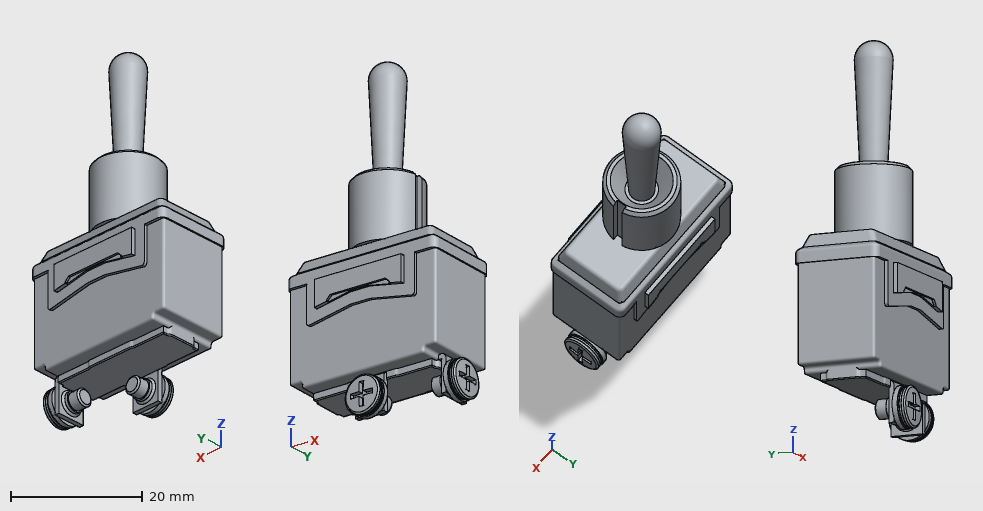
import cadquery as cq
import math


overall_height = 60.7

body_half_x = 13.85
body_half_y = 6.5
body_end_z = -20.5
body_bottom_z = -21.55
base_half_x = 11.55
base_half_y = 4.0
base_bottom_z = -22.8
body_edge_radius = 0.4
step_radius = 0.4
base_chamfer = 0.2
end_pad_half_width = 2.7
end_pad_height = 0.35
side_pad_half_length = 4.55
side_pad_height = 0.2
pad_blend = 0.35

cover_top_half_x = 12.2
cover_top_half_y = 5.45
cover_shoulder_z = -2.1
cover_slope_offset = 0.85
cover_top_radius = 0.65
cover_corner_radius = 1.0
flange_half_x = 14.1
flange_half_y = 7.05
flange_bottom_z = -4.75
flange_corner_radius = 1.15
flange_bevel_drop = 0.65
flange_bevel_inset = 1.05
flange_top_radius = 0.6

strap_half_x = 10.2
strap_end_z = -11.85
strap_corner_radius = 0.5
crest_half_x = 1.8
crest_rise = 1.6
crest_slope = crest_rise / (strap_half_x - crest_half_x)
lug_half_x = 8.2
lug_half_y = 15.5 / 2
lug_end_z = -9.4
lug_step = 0.3
notch_half_top = 5.15
notch_half_bottom = 5.9
notch_top_z = -8.0
notch_bottom_z = -8.75

bushing_radius = 5.95
bushing_height = 12.1
bushing_chamfer = 0.55
cup_top_radius = 4.8
cup_bottom_radius = 2.55
cup_depth = 3.05
keyway_width = 1.7
keyway_floor = 4.9

lever_top_z = 31.8
ball_radius = 3.0
lever_foot_radius = 2.0

tab_half_width = 2.7
tab_thickness = 0.85
tab_rise = 3.9
tab_drop = 2.75
leg_length = 3.05
bend_radius = 0.85
x_terminal_reach = 12.9
x_terminal_z = -24.45
y_terminal_reach = 4.6

washer_radius = 6.75 / 2
washer_thickness = 0.85
neck_radius = 3.15
neck_length = 0.25
lock_washer_radius = 3.2
lock_washer_thickness = 0.35
head_radius = 6.55 / 2
head_rim_height = 0.4
dome_edge_radius = 3.0
dome_rise = 0.15
screw_height = 2.25
collar_radius = 3.6 / 2
collar_length = 1.75
collar_flare = 0.35
shank_radius = 3.1 / 2
shank_length = 3.8
shank_tip_radius = 1.2
shank_tip_length = 0.25
cross_half_length = 2.05
cross_width = 0.8
cross_depth = 0.9


def block(half_x, half_y, bottom_z, top_z):
    """Box centred on the Z axis between two heights."""
    height = top_z - bottom_z
    return cq.Workplane("XY").workplane(offset=bottom_z).rect(2 * half_x, 2 * half_y).extrude(height)


def make_pad(half_x, half_width, height):
    """Pad along the +X and -X ends of the base; its sides blend in with S-curves."""
    curve_radius = (pad_blend ** 2 + (height / 2) ** 2) / height
    low_x = half_x - height
    mid_x = half_x - height / 2
    pad = (
        cq.Workplane("XY")
        .workplane(offset=base_bottom_z)
        .moveTo(0, -half_width - pad_blend)
        .lineTo(low_x, -half_width - pad_blend)
        .radiusArc((mid_x, -half_width), curve_radius)
        .radiusArc((half_x, -half_width + pad_blend), -curve_radius)
        .lineTo(half_x, half_width - pad_blend)
        .radiusArc((mid_x, half_width), -curve_radius)
        .radiusArc((low_x, half_width + pad_blend), curve_radius)
        .lineTo(0, half_width + pad_blend)
        .close()
        .extrude(body_end_z - base_bottom_z)
    )
    return pad.union(pad.mirror("YZ"))


def make_base():
    core = block(base_half_x - end_pad_height, base_half_y - side_pad_height, base_bottom_z, body_end_z)
    end_pads = make_pad(base_half_x, end_pad_half_width, end_pad_height)
    side_pads = make_pad(base_half_y, side_pad_half_length, side_pad_height)
    base = core.union(end_pads).union(side_pads.rotate((0, 0, 0), (0, 0, 1), 90))
    return base.faces("<Z").edges().chamfer(base_chamfer)


def make_body():
    ends = block(body_half_x, body_half_y, body_end_z, flange_bottom_z)
    middle = block(base_half_x, body_half_y, body_bottom_z, flange_bottom_z)
    body = ends.union(middle)
    body = body.edges(cq.NearestToPointSelector((base_half_x, 0, body_end_z))).fillet(step_radius)
    body = body.edges(cq.NearestToPointSelector((-base_half_x, 0, body_end_z))).fillet(step_radius)
    outer_edges = body.faces("<Y or >Y").edges("not >Z")
    outer_edges = outer_edges.add(body.edges("|Y and (<X or >X or <Z)").edges("not >Z"))
    return outer_edges.fillet(body_edge_radius).union(make_base())


def make_cover():
    flange = block(flange_half_x, flange_half_y, flange_bottom_z, cover_shoulder_z)
    flange = flange.edges("|Z").fillet(flange_corner_radius)
    flange = flange.faces(">Z").edges().chamfer(flange_bevel_drop, flange_bevel_inset)
    flange = flange.edges("#Z").edges("not >Z").edges("not <Z").fillet(flange_top_radius)
    slope_angle = math.degrees(math.atan2(cover_slope_offset, -cover_shoulder_z))
    raised = (
        cq.Workplane("XY")
        .workplane(offset=cover_shoulder_z)
        .rect(2 * (cover_top_half_x + cover_slope_offset), 2 * (cover_top_half_y + cover_slope_offset))
        .extrude(-cover_shoulder_z, taper=slope_angle)
    )
    raised = raised.edges("not(#Z or |X or |Y)").fillet(cover_corner_radius)
    raised = raised.faces(">Z").edges().fillet(cover_top_radius)
    return flange.union(raised)


def chevron_plate(half_x, end_z, half_y):
    """Plate through the housing whose lower edge is a shallow chevron."""
    crest_z = end_z + crest_slope * (half_x - crest_half_x)
    return (
        cq.Workplane("XZ")
        .moveTo(-half_x, flange_bottom_z)
        .lineTo(-half_x, end_z)
        .lineTo(-crest_half_x, crest_z)
        .lineTo(crest_half_x, crest_z)
        .lineTo(half_x, end_z)
        .lineTo(half_x, flange_bottom_z)
        .close()
        .extrude(half_y, both=True)
    )


def make_straps():
    strap = chevron_plate(strap_half_x, strap_end_z, flange_half_y)
    strap = strap.edges("|Y and <Z").fillet(strap_corner_radius)
    lug = chevron_plate(lug_half_x, lug_end_z, lug_half_y)
    layer = chevron_plate(lug_half_x, lug_end_z, flange_half_y + lug_step)
    notch = (
        cq.Workplane("XZ")
        .moveTo(-notch_half_top, notch_top_z)
        .lineTo(notch_half_top, notch_top_z)
        .lineTo(notch_half_bottom, notch_bottom_z)
        .lineTo(notch_half_bottom, lug_end_z)
        .lineTo(-notch_half_bottom, lug_end_z)
        .lineTo(-notch_half_bottom, notch_bottom_z)
        .close()
        .extrude(lug_half_y, both=True)
    )
    return strap.union(lug.cut(notch)).union(layer)


def make_bushing():
    bushing = cq.Workplane("XY").circle(bushing_radius).extrude(bushing_height)
    bushing = bushing.faces(">Z").edges().chamfer(bushing_chamfer)
    cup = (
        cq.Workplane("XY")
        .workplane(offset=bushing_height - cup_depth)
        .circle(cup_bottom_radius)
        .workplane(offset=cup_depth)
        .circle(cup_top_radius)
        .loft()
    )
    keyway = (
        cq.Workplane("XY")
        .box(bushing_radius, keyway_width, bushing_height, centered=(False, True, False))
        .translate((keyway_floor, 0, 0))
    )
    return bushing.cut(cup).cut(keyway)


def make_lever():
    foot_z = bushing_height - cup_depth
    ball_z = lever_top_z - ball_radius
    return (
        cq.Workplane("XZ")
        .moveTo(0, foot_z)
        .lineTo(lever_foot_radius, foot_z)
        .lineTo(ball_radius, ball_z)
        .radiusArc((0, lever_top_z), -ball_radius)
        .close()
        .revolve(360, (0, 0), (0, 1))
    )


def make_screw():
    """Screw along +X, with the outer tab face at X = 0."""
    neck_end = washer_thickness + neck_length
    head_start = neck_end + lock_washer_thickness
    rim_end = head_start + head_rim_height
    dome_radius = (dome_edge_radius ** 2 + dome_rise ** 2) / (2 * dome_rise)
    dome_start = screw_height - dome_rise
    screw = (
        cq.Workplane("XY")
        .moveTo(-shank_length, 0)
        .lineTo(-shank_length, shank_tip_radius)
        .lineTo(shank_tip_length - shank_length, shank_radius)
        .lineTo(-collar_length, shank_radius)
        .lineTo(-collar_length, collar_radius)
        .lineTo(-tab_thickness - collar_flare, collar_radius)
        .lineTo(-tab_thickness, collar_radius + collar_flare)
        .lineTo(0, collar_radius + collar_flare)
        .lineTo(0, washer_radius)
        .lineTo(washer_thickness, washer_radius)
        .lineTo(washer_thickness, neck_radius)
        .lineTo(neck_end, neck_radius)
        .lineTo(neck_end, lock_washer_radius)
        .lineTo(head_start, lock_washer_radius)
        .lineTo(head_start, head_radius)
        .lineTo(rim_end, head_radius)
        .lineTo(dome_start, dome_edge_radius)
        .radiusArc((screw_height, 0), dome_radius)
        .close()
        .revolve(360, (0, 0), (1, 0))
    )
    for size_y, size_z in ((2 * cross_half_length, cross_width), (cross_width, 2 * cross_half_length)):
        slot = cq.Workplane("XY").box(2 * cross_depth, size_y, size_z)
        screw = screw.cut(slot.translate((screw_height, 0, 0)))
    return screw


def make_terminal():
    """Bent tab with its screw, facing +X, the screw axis on the X axis."""
    tab = (
        cq.Workplane("XZ")
        .moveTo(0, -tab_drop)
        .lineTo(0, tab_rise - bend_radius)
        .radiusArc((-bend_radius, tab_rise), -bend_radius)
        .lineTo(-leg_length, tab_rise)
        .lineTo(-leg_length, tab_rise - tab_thickness)
        .lineTo(-tab_thickness, tab_rise - tab_thickness)
        .lineTo(-tab_thickness, -tab_drop)
        .close()
        .extrude(tab_half_width, both=True)
    )
    return tab.union(make_screw())


terminal = make_terminal()
y_terminal_z = lever_top_z - overall_height + washer_radius
x_terminal = terminal.translate((x_terminal_reach, 0, x_terminal_z))
y_terminal = terminal.rotate((0, 0, 0), (0, 0, 1), -90).translate((0, -y_terminal_reach, y_terminal_z))

result = make_body()
for piece in (make_cover(), make_straps(), make_bushing(), make_lever(), x_terminal, y_terminal):
    result = result.union(piece)